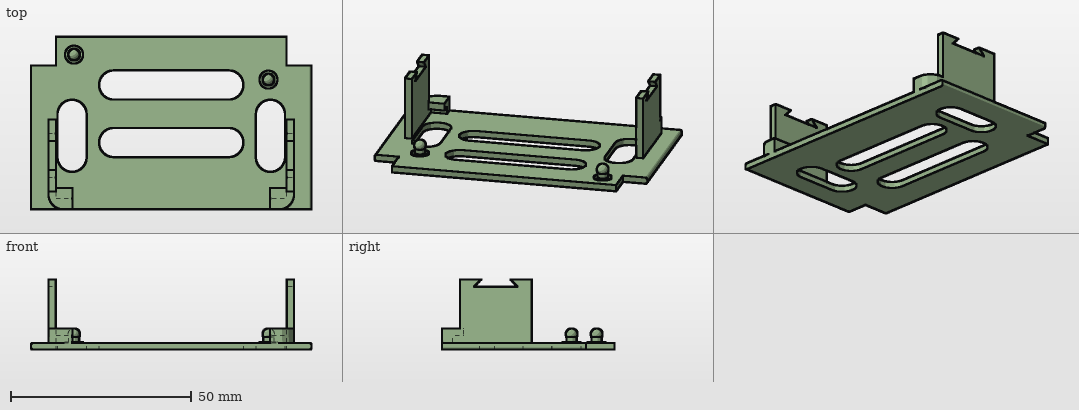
import cadquery as cq

plate_width = 78.0
plate_depth = 48.0
plate_thickness = 1.9
total_height = 19.5
edge_radius = 0.6

tongue_width = 64.1
shoulder_depth = 40.0

slot_width = 8.0
long_slot_length = 40.0
long_slot_places_y = (18.6, 34.55)
side_slot_length = 20.0
side_slot_x = 27.5
side_slot_y = 20.4

wall_thickness = 2.0
wall_length = 20.0
wall_outer_x = 34.1
wall_front_y = 5.0
notch_top_width = 8.0
notch_depth = 2.0

block_width = 6.6
block_depth = 6.0
block_top = 5.9
block_corner_radius = 4.1
undercut_depth = 3.05
undercut_height = 2.0

pin_places = ((-27.0, 43.0), (27.0, 36.0))
pin_diameter = 3.0
ball_diameter = 3.35
collar_diameter = 5.0
collar_height = 0.2
pin_top = 5.9


def base_plate():
    main = cq.Workplane("XY").box(
        plate_width, shoulder_depth, plate_thickness, centered=(True, False, False)
    )
    main = main.edges("|Y").fillet(edge_radius)
    tongue = cq.Workplane("XY").box(
        tongue_width, plate_depth, plate_thickness, centered=(True, False, False)
    )
    plate = main.union(tongue)

    long_slots = (
        cq.Workplane("XY")
        .pushPoints([(0, y) for y in long_slot_places_y])
        .slot2D(long_slot_length, slot_width)
        .extrude(plate_thickness)
    )
    side_slots = (
        cq.Workplane("XY")
        .pushPoints([(-side_slot_x, side_slot_y), (side_slot_x, side_slot_y)])
        .slot2D(side_slot_length, slot_width, 90)
        .extrude(plate_thickness)
    )
    return plate.cut(long_slots).cut(side_slots)


def left_wall():
    wall_back_y = wall_front_y + wall_length
    notch_centre_y = wall_front_y + wall_length / 2
    notch_half_top = notch_top_width / 2
    notch_half_floor = notch_half_top + notch_depth
    notch_floor = total_height - notch_depth
    profile = [
        (wall_front_y, 0),
        (wall_back_y, 0),
        (wall_back_y, total_height),
        (notch_centre_y + notch_half_top, total_height),
        (notch_centre_y + notch_half_floor, notch_floor),
        (notch_centre_y - notch_half_floor, notch_floor),
        (notch_centre_y - notch_half_top, total_height),
        (wall_front_y, total_height),
    ]
    wall = cq.Workplane("YZ").polyline(profile).close().extrude(wall_thickness)
    return wall.translate((-wall_outer_x, 0, 0))


def left_block():
    block = cq.Workplane("XY").box(block_width, block_depth, block_top, centered=False)
    block = block.edges("|Z and <X and <Y").fillet(block_corner_radius)
    undercut = cq.Workplane("XY").box(
        block_width - wall_thickness, undercut_depth, undercut_height, centered=False
    )
    undercut = undercut.translate((wall_thickness, block_depth - undercut_depth, plate_thickness))
    return block.cut(undercut).translate((-wall_outer_x, 0, 0))


def pin(x, y):
    ball_centre_z = pin_top - ball_diameter / 2
    base = cq.Workplane("XY").center(x, y)
    shaft = base.circle(pin_diameter / 2).extrude(ball_centre_z)
    collar = base.circle(collar_diameter / 2).extrude(plate_thickness + collar_height)
    ball = cq.Workplane("XY").sphere(ball_diameter / 2).translate((x, y, ball_centre_z))
    return shaft.union(collar).union(ball)


left_side = left_wall().union(left_block())
result = base_plate().union(left_side).union(left_side.mirror("YZ"))
for pin_x, pin_y in pin_places:
    result = result.union(pin(pin_x, pin_y))